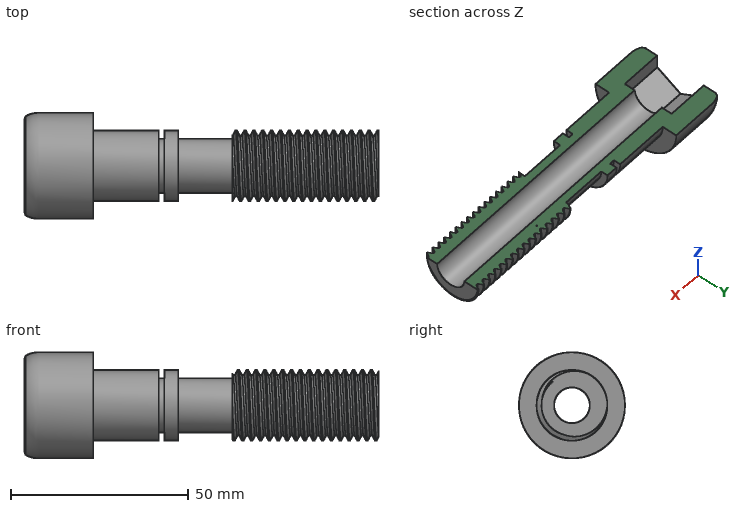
import cadquery as cq

total_length = 100.0

head_radius = 15.0
head_length = 19.5
head_rounding_length = 4.0
face_radius = 13.0
face_bevel_radius = 14.0
face_bevel_depth = 0.4
head_rounding_radial = head_radius - face_bevel_radius
head_rounding_axial = head_rounding_length - face_bevel_depth
head_rounding_radius = (head_rounding_axial**2 + head_rounding_radial**2) / (2 * head_rounding_radial)

socket_across_flats = 17.2
socket_depth = 14.0
bore_radius = 5.0

shank_radius = 10.0
neck_radius = 7.7
groove_start = 38.0
groove_width = 1.5
collar_width = 4.0
collar_start = groove_start + groove_width
collar_end = collar_start + collar_width

thread_start = 58.7
thread_length = total_length - thread_start
thread_core_radius = 8.6
thread_pitch = 2.5
ridge_root_width = 1.9
ridge_crest_width = 0.4
first_crest = 60.4
root_overlap = 0.2


def make_cylinder(start, end, radius):
    return cq.Workplane("YZ", origin=(start, 0, 0)).circle(radius).extrude(end - start)


def make_head():
    """Revolved head with a small face bevel and a rounding tangent to its side."""
    arc_centre_x = head_rounding_length
    arc_centre_y = head_radius - head_rounding_radius
    mid_x = (face_bevel_depth + head_rounding_length) / 2
    mid_y = arc_centre_y + (head_rounding_radius**2 - (mid_x - arc_centre_x) ** 2) ** 0.5
    return (
        cq.Workplane("XY")
        .lineTo(0, face_radius)
        .lineTo(face_bevel_depth, face_bevel_radius)
        .threePointArc((mid_x, mid_y), (head_rounding_length, head_radius))
        .lineTo(head_length, head_radius)
        .lineTo(head_length, 0)
        .close()
        .revolve(360, (0, 0, 0), (1, 0, 0))
    )


def make_thread():
    """Right-hand helical ridge, cut flat at both ends of the threaded length."""
    root_radius = thread_core_radius - root_overlap
    flank_slope = (ridge_root_width - ridge_crest_width) / 2 / (shank_radius - thread_core_radius)
    half_crest = ridge_crest_width / 2
    half_root = ridge_root_width / 2 + root_overlap * flank_slope

    sweep_start = first_crest - 2 * thread_pitch
    sweep_length = total_length - sweep_start + 2 * thread_pitch
    helix = cq.Workplane(obj=cq.Wire.makeHelix(thread_pitch, sweep_length, root_radius))
    ridge = (
        cq.Workplane("XZ")
        .moveTo(root_radius, -half_root)
        .lineTo(shank_radius, -half_crest)
        .lineTo(shank_radius, half_crest)
        .lineTo(root_radius, half_root)
        .close()
        .sweep(helix, isFrenet=True)
    )
    ridge = ridge.rotate((0, 0, 0), (0, 1, 0), 90).rotate((0, 0, 0), (1, 0, 0), 180)
    ridge = ridge.translate((sweep_start, 0, 0))
    trim_size = 3 * shank_radius
    trim = cq.Workplane("YZ", origin=(thread_start, 0, 0)).rect(trim_size, trim_size).extrude(thread_length)
    core = make_cylinder(thread_start, total_length, thread_core_radius)
    return core.union(ridge.intersect(trim))


def make_socket():
    """Hexagonal recess with two corners on the Z axis."""
    across_corners = socket_across_flats * 2 / 3**0.5
    hexagon = cq.Workplane("YZ").polygon(6, across_corners).extrude(socket_depth)
    return hexagon.rotate((0, 0, 0), (1, 0, 0), 30)


body = (
    make_head()
    .union(make_cylinder(head_length, groove_start, shank_radius))
    .union(make_cylinder(groove_start, thread_start, neck_radius))
    .union(make_cylinder(collar_start, collar_end, shank_radius))
    .union(make_thread())
)
bore = make_cylinder(0, total_length, bore_radius)
result = body.cut(make_socket()).cut(bore)